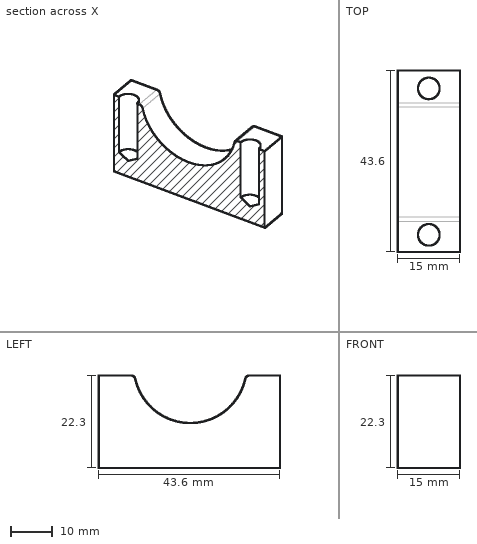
import cadquery as cq
import math

width = 15.0
length = 43.6
height = 22.3

saddle_radius = 13.5
saddle_depth = 11.42
saddle_y = -0.2
lip_radius = 1.0

hole_diameter = 5.2
hole_spacing = 35.15
hole_middle_y = -0.1
hole_depth = 16.0
drill_point_angle = 118

saddle_axis_z = height - saddle_depth + saddle_radius


def make_block():
    outline = cq.Workplane("YZ").workplane(offset=-width / 2).center(0, height / 2)
    return outline.rect(length, height).extrude(width)


def cut_saddle(body):
    cutter = (
        cq.Workplane("YZ")
        .center(saddle_y, saddle_axis_z)
        .circle(saddle_radius)
        .extrude(width, both=True)
    )
    return body.cut(cutter)


def round_lips(body):
    """Round the two edges where the saddle meets the top face."""
    top_edges_along_x = body.faces(">Z").edges("|X")
    lips = top_edges_along_x.edges("not(<Y or >Y)")
    return lips.fillet(lip_radius)


def drill_holes(body):
    """Drill from the top face; the cone lies below the straight depth."""
    radius = hole_diameter / 2
    point_length = radius / math.tan(math.radians(drill_point_angle / 2))
    drill_profile = [
        (0, height),
        (radius, height),
        (radius, height - hole_depth),
        (0, height - hole_depth - point_length),
    ]
    drill = cq.Workplane("XZ").polyline(drill_profile).close().revolve(360, (0, 0), (0, 1))
    for side in (-1, 1):
        hole_y = hole_middle_y + side * hole_spacing / 2
        body = body.cut(drill.translate((0, hole_y, 0)))
    return body


result = drill_holes(round_lips(cut_saddle(make_block())))